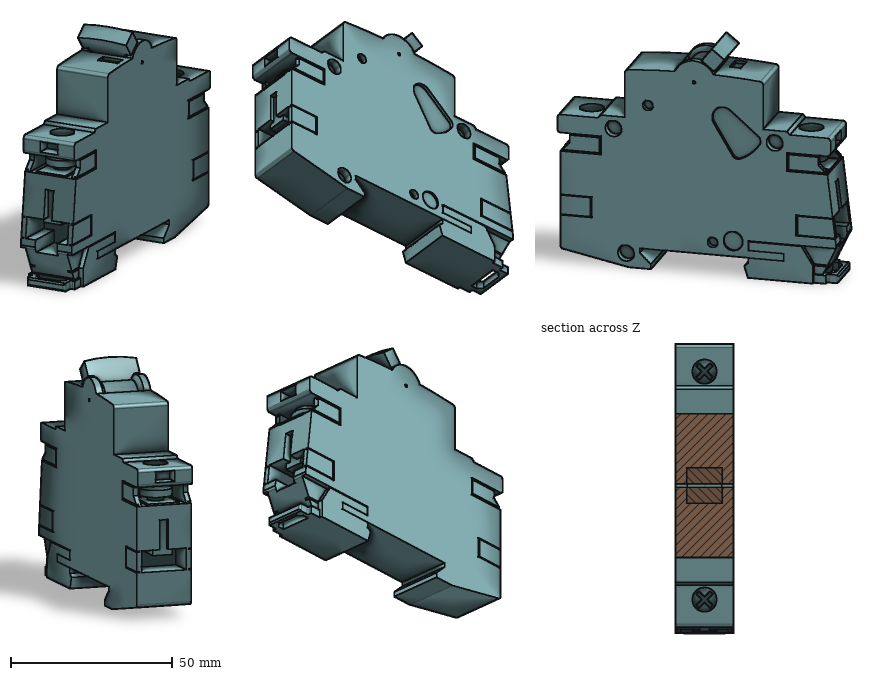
import cadquery as cq
import math

BACK = 1
FRONT = -1
BOTH_ENDS = (BACK, FRONT)

half_width = 9.0
beyond = 0.9

dome_top = 65.7
shoulder_y = 22.3
shoulder_z = 64.6
shoulder_radius = 1.2
step_y = 30.0
step_size = 1.0
step_z = 49.1
flange_y = 44.05
flange_top = step_z - step_size
flange_bottom = 42.2
flange_radius = 1.1
neck_y = 40.1
neck_z = 39.1
waist_z = 36.1
waist_y = neck_y + neck_z - waist_z
front_bottom_y = -45.9
bevel = 0.8
bevel_depth = 0.2
back_bottom_z = 4.3
back_bottom_radius = 1.1
back_foot_y = 20.9
hook_tip_y = 13.9
hook_tip_z = 1.6
hook_root_y = 17.5
hook_root_z = 5.1
rail_z = 6.6

axis_z = 62.5
barrel_radius = 7.0
drum_radius = 5.4
drum_half_width = 5.4
mouth_half_width = 6.8
mouth_y = 6.4
mouth_floor_y = 4.95
mouth_floor_z = 64.7
mouth_flare = (mouth_half_width - drum_half_width) / (barrel_radius - drum_radius)
pin_hole_diameter = 0.9

handle_angle = 38.3
handle_thickness = 5.2
handle_half_width = 8.6
handle_bottom = 7.0
handle_side_height = 12.3
handle_crown_height = 13.2

window_x = (0.1, 6.9)
window_y = (-12.5, -9.0)
window_floor = 64.4

screw_y = 35.4
access_radius = 3.8
entry_half_width = 3.15
entry_y = 39.5
entry_bottom = 43.5
entry_top = 46.9
cavity_half_width = 7.4
cavity_y = 30.3
plate_half_width = 5.1
plate_top = 36.7
plate_y = 42.8
screw_shank_radius = 2.6
screw_head_radius = 5.1
screw_head_bottom = 38.1
screw_head_top = 40.4
screw_crown_top = 41.8
cross_length = 6.1
cross_width = 1.3

pocket_y = 33.6
pocket_half_width = 7.4
pocket_bottom = 15.2
pocket_top = 22.1
slot_half_width = 1.4
slot_top = 31.4
slot_depth = 1.35
block_half_width = 3.15
block_bottom = 20.1

groove_depth = 0.77
groove_width = 0.5
upper_groove_y = 29.9
lower_groove_width = 0.3
lower_groove_y = 32.9
lower_groove_z = (15.2, 22.0)

rivet_holes = [(25.95, 45.0), (-26.0, 45.0), (21.9, 4.6)]
rivet_radius = 2.6
rivet_depth = 2.8
small_holes = [(14.9, 53.6), (-6.0, 10.6)]
small_radius = 1.6
small_depth = 1.9
disc_y = -12.6
disc_z = 11.6
disc_radius = 3.1
disc_depth = 0.5
fan_depth = 1.1
fan_y = -9.5
fan_z = 51.6
fan_nose_radius = 3.6
fan_reach = 14.0
fan_corner_radius = 2.1
fan_angles = (-139.5, -121.0)

clip_seat_y = -17.5
clip_seat_z = 12.2
clip_gap = 0.3
rib_y = -29.0
rib_top = 9.0
clip_slope_top_y = -34.7
clip_end_y = -38.4
clip_shelf_z = 5.95
jaw_y = -16.2
jaw_z = 3.8
jaw_shoulder_z = 4.9
jaw_bottom_y = -17.4
nose_half_width = 7.4
nose_back_y = -32.4
nose_top_y = -45.7
nose_lower_y = -41.4
nose_lower_z = 3.2
nose_bottom_y = -40.9
slit_half_width = 5.95
slit_height = 0.5
channel_half_width = 3.9
channel_floor = 11.2
pull_height = 2.7
pull_front_y = -46.0
pull_step_y = -42.25
pull_root_half_width = 8.1
pull_half_width = 6.7
pull_step_radius = 0.5
pull_corner_radius = 0.6
pull_edge_chamfer = 0.5
pull_window_half_width = 5.2
pull_window_y = (-44.3, -40.7)
pull_window_chamfer = 1.5


def box(x_range, y_range, z_range):
    """Box between two values on each axis, given in any order."""
    spans = [sorted(pair) for pair in (x_range, y_range, z_range)]
    sizes = [high - low for low, high in spans]
    corner = [low for low, high in spans]
    return cq.Workplane("XY").box(*sizes, centered=False).translate(tuple(corner))


def centred_box(half_x, y_range, z_range):
    return box((-half_x, half_x), y_range, z_range)


def prism(points, half_x):
    """Prism along X from a (y, z) outline, centred on the width."""
    return cq.Workplane("YZ").polyline(points).close().extrude(half_x, both=True)


def axle(radius, half_x):
    """Cylinder along the toggle axis."""
    return cq.Workplane("YZ").center(0, axis_z).circle(radius).extrude(half_x, both=True)


def round_edges(body, places, radius):
    """Fillet the edges along X that pass through the (y, z) places."""
    for y, z in places:
        edge = cq.selectors.NearestToPointSelector((0, y, z))
        body = body.edges("|X").edges(edge).fillet(radius)
    return body


def end_outline(side):
    """Outline of one end of the housing from the shoulder down to the waist."""
    half = [
        (shoulder_y, step_z),
        (step_y, step_z),
        (step_y + step_size, flange_top),
        (flange_y, flange_top),
        (flange_y, flange_bottom),
        (neck_y, flange_bottom),
        (neck_y, neck_z),
        (waist_y, waist_z),
    ]
    return [(side * y, z) for y, z in half]


def make_shell():
    """Outer shape of the housing with the rail seat, the clip recess and the barrel."""
    base = [
        (waist_y, back_bottom_z),
        (back_foot_y, 0),
        (hook_tip_y, 0),
        (hook_tip_y, hook_tip_z),
        (hook_root_y, hook_root_z),
        (hook_root_y, rail_z),
        (rib_y, rail_z),
        (rib_y, rib_top),
        (clip_seat_y, rib_top),
        (clip_seat_y, clip_seat_z),
        (front_bottom_y + bevel_depth, clip_seat_z),
        (front_bottom_y, clip_seat_z + bevel),
    ]
    outline = end_outline(BACK) + base + end_outline(FRONT)[::-1]
    shell = (
        cq.Workplane("YZ")
        .moveTo(-shoulder_y, shoulder_z)
        .threePointArc((0, dome_top), (shoulder_y, shoulder_z))
    )
    for point in outline:
        shell = shell.lineTo(*point)
    shell = shell.close().extrude(half_width, both=True)
    shell = round_edges(shell, [(side * shoulder_y, shoulder_z) for side in BOTH_ENDS], shoulder_radius)
    flange_corners = [(side * flange_y, z) for side in BOTH_ENDS for z in (flange_top, flange_bottom)]
    shell = round_edges(shell, flange_corners, flange_radius)
    shell = round_edges(shell, [(waist_y, back_bottom_z)], back_bottom_radius)
    return shell.union(axle(barrel_radius, half_width))


def make_mouth():
    """Flared opening of the barrel, above the drum and between two sloped ends."""
    outer_radius = barrel_radius + beyond
    outer_half_width = mouth_half_width + mouth_flare * beyond
    ring = (
        cq.Workplane("XY", origin=(0, 0, axis_z))
        .polyline([
            (-drum_half_width, 0),
            (-drum_half_width, drum_radius),
            (-outer_half_width, outer_radius),
            (outer_half_width, outer_radius),
            (drum_half_width, drum_radius),
            (drum_half_width, 0),
        ])
        .close()
        .revolve(360, (0, 0, 0), (1, 0, 0))
    )
    mouth_z = dome_top - (dome_top - shoulder_z) * (mouth_y / shoulder_y) ** 2
    slope = (mouth_z - mouth_floor_z) / (mouth_y - mouth_floor_y)
    top_y = mouth_y + 2 * beyond
    top_z = mouth_z + 2 * beyond * slope
    above = prism(
        [
            (mouth_floor_y, mouth_floor_z),
            (top_y, top_z),
            (top_y, axis_z + outer_radius),
            (-top_y, axis_z + outer_radius),
            (-top_y, top_z),
            (-mouth_floor_y, mouth_floor_z),
        ],
        half_width,
    )
    return ring.intersect(above)


def cut_terminal(housing, side):
    """Screw access, wire entry, screw cavity, wire pocket and tool slot at one end."""
    outside = side * (abs(pull_front_y) + beyond)
    access = (
        cq.Workplane("XY", origin=(0, side * screw_y, flange_bottom - beyond))
        .circle(access_radius)
        .extrude(flange_top - flange_bottom + 2 * beyond)
    )
    entry = centred_box(entry_half_width, (side * entry_y, outside), (entry_bottom, entry_top))
    cavity = centred_box(cavity_half_width, (side * cavity_y, outside), (waist_z, flange_bottom))
    pocket = centred_box(pocket_half_width, (side * pocket_y, outside), (pocket_bottom, pocket_top))
    slot_back_y = side * (waist_y - slot_depth)
    slot = centred_box(slot_half_width, (slot_back_y, outside), (pocket_top - beyond, slot_top))
    block = centred_box(block_half_width, (side * pocket_y, slot_back_y), (block_bottom, pocket_top))
    pocket = pocket.cut(block)
    for cutter in (access, entry, cavity, pocket, slot):
        housing = housing.cut(cutter)
    return housing


def make_screw(side):
    """Terminal screw with a domed head and a cross slot, on its contact plate."""
    sagitta = screw_crown_top - screw_head_top
    crown_mid_x = screw_head_radius / 2
    crown_radius = (screw_head_radius ** 2 + sagitta ** 2) / (2 * sagitta)
    crown_mid_z = screw_crown_top - crown_radius + math.sqrt(crown_radius ** 2 - crown_mid_x ** 2)
    screw = (
        cq.Workplane("XZ")
        .moveTo(0, waist_z)
        .lineTo(screw_shank_radius, waist_z)
        .lineTo(screw_shank_radius, screw_head_bottom)
        .lineTo(screw_head_radius, screw_head_bottom)
        .lineTo(screw_head_radius, screw_head_top)
        .threePointArc((crown_mid_x, crown_mid_z), (0, screw_crown_top))
        .close()
        .revolve(360, (0, 0, 0), (0, 1, 0))
    )
    for angle in (45, 135):
        arm = box(
            (-cross_length / 2, cross_length / 2),
            (-cross_width / 2, cross_width / 2),
            (screw_head_top, screw_crown_top),
        )
        screw = screw.cut(arm.rotate((0, 0, 0), (0, 0, 1), angle))
    plate = centred_box(plate_half_width, (side * cavity_y, side * plate_y), (waist_z, plate_top))
    return plate.union(screw.translate((0, side * screw_y, 0)))


def make_frame_groove(side, start_y, z_range, end_width, rail_width):
    """Groove around three edges of a rectangle that runs out at one end of the housing."""
    outside = side * (abs(pull_front_y) + beyond)
    low, high = z_range
    x_range = (-half_width, -half_width + groove_depth)
    outer = box(x_range, (side * start_y, outside), z_range)
    island = box(x_range, (side * (start_y + end_width), outside), (low + rail_width, high - rail_width))
    groove = outer.cut(island)
    return groove.union(groove.mirror("YZ"))


def side_hole(y, z, radius, depth):
    """Round blind hole in the -X side."""
    return cq.Workplane("YZ", origin=(-half_width, y, z)).circle(radius).extrude(depth)


def make_fan():
    """Fan-shaped shallow recess: round nose, two straight edges and a wide arc."""
    def polar(radius, angle):
        return (radius * math.cos(math.radians(angle)), radius * math.sin(math.radians(angle)))

    first, last = fan_angles
    tangent_length = math.sqrt(fan_reach ** 2 - fan_nose_radius ** 2)
    offset = math.degrees(math.atan2(fan_nose_radius, tangent_length))
    fan = (
        cq.Workplane("YZ", origin=(-half_width, fan_y, fan_z))
        .moveTo(*polar(fan_nose_radius, first - 90))
        .lineTo(*polar(fan_reach, first - offset))
        .threePointArc(polar(fan_reach, (first + last) / 2), polar(fan_reach, last + offset))
        .lineTo(*polar(fan_nose_radius, last + 90))
        .threePointArc(polar(fan_nose_radius, (first + last) / 2 + 180), polar(fan_nose_radius, first - 90))
        .close()
        .extrude(fan_depth)
    )
    return fan.edges("|X and <Z").fillet(fan_corner_radius).edges("|X and <Y").fillet(fan_corner_radius)


def make_channel():
    """Channel in the floor of the front pocket, down into the nose."""
    return centred_box(
        channel_half_width,
        (-pocket_y, pull_front_y - beyond),
        (channel_floor, pocket_bottom + beyond),
    )


def make_nose():
    """Wedge under the front of the housing, in front of the clip, with a slit in each side."""
    nose = prism(
        [
            (nose_back_y, clip_seat_z),
            (nose_top_y, clip_seat_z),
            (nose_lower_y, nose_lower_z),
            (nose_bottom_y, pull_height),
            (clip_end_y, pull_height),
            (clip_end_y, clip_shelf_z),
        ],
        nose_half_width,
    )
    slit = box(
        (slit_half_width, half_width),
        (clip_end_y, pull_front_y),
        (clip_shelf_z - slit_height, clip_shelf_z),
    )
    return nose.cut(slit).cut(slit.mirror("YZ"))


def make_housing():
    housing = make_shell()
    housing = housing.cut(make_mouth())
    housing = housing.cut(axle(drum_radius, drum_half_width))
    housing = housing.cut(axle(pin_hole_diameter / 2, half_width + beyond))
    for side in BOTH_ENDS:
        housing = cut_terminal(housing, side)
        housing = housing.union(make_screw(side))
        upper_z = (waist_z, flange_bottom)
        housing = housing.cut(make_frame_groove(side, upper_groove_y, upper_z, groove_width, groove_width))
        housing = housing.cut(
            make_frame_groove(side, lower_groove_y, lower_groove_z, groove_width, lower_groove_width)
        )
    housing = housing.union(make_nose()).cut(make_channel())
    housing = housing.cut(box(window_x, window_y, (window_floor, dome_top)))
    for y, z in rivet_holes:
        housing = housing.cut(side_hole(y, z, rivet_radius, rivet_depth))
    for y, z in small_holes:
        housing = housing.cut(side_hole(y, z, small_radius, small_depth))
    housing = housing.cut(side_hole(disc_y, disc_z, disc_radius, disc_depth))
    return housing.cut(make_fan())


def make_toggle():
    """Drum with a handle, built upright and then tilted about the toggle axis."""
    neck_half_width = mouth_half_width + mouth_flare * (handle_bottom - barrel_radius)
    half_thick = handle_thickness / 2
    handle = (
        cq.Workplane("XZ")
        .moveTo(-handle_half_width, handle_bottom)
        .lineTo(-handle_half_width, handle_side_height)
        .threePointArc((0, handle_crown_height), (handle_half_width, handle_side_height))
        .lineTo(handle_half_width, handle_bottom)
        .close()
        .extrude(half_thick, both=True)
    )
    neck = (
        cq.Workplane("XZ")
        .polyline([
            (-drum_half_width, 0),
            (-drum_half_width, drum_radius),
            (-neck_half_width, handle_bottom),
            (neck_half_width, handle_bottom),
            (drum_half_width, drum_radius),
            (drum_half_width, 0),
        ])
        .close()
        .extrude(half_thick, both=True)
    )
    toggle = handle.union(neck)
    toggle = toggle.rotate((0, 0, 0), (1, 0, 0), handle_angle).translate((0, 0, axis_z))
    toggle = toggle.union(axle(drum_radius, drum_half_width))
    return toggle.cut(axle(pin_hole_diameter / 2, half_width))


def make_pull():
    """Flat pull at the foot of the clip, with a window for a screwdriver."""
    half_plan = [
        (pull_root_half_width, clip_end_y),
        (pull_root_half_width, pull_step_y),
        (pull_half_width, pull_step_y),
        (pull_half_width, pull_front_y),
    ]
    plan = half_plan + [(-x, y) for x, y in half_plan[::-1]]
    pull = cq.Workplane("XY").polyline(plan).close().extrude(pull_height)
    pull = pull.edges("|Z and <Y").fillet(pull_corner_radius)
    for side in (1, -1):
        inner_corner = cq.selectors.NearestToPointSelector((side * pull_half_width, pull_step_y, 0))
        pull = pull.edges("|Z").edges(inner_corner).fillet(pull_step_radius)
    profile = [
        (clip_end_y, 0),
        (pull_front_y + pull_edge_chamfer, 0),
        (pull_front_y, pull_edge_chamfer),
        (pull_front_y, pull_height - pull_edge_chamfer),
        (pull_front_y + pull_edge_chamfer, pull_height),
        (clip_end_y, pull_height),
    ]
    pull = pull.intersect(prism(profile, half_width))
    window = centred_box(pull_window_half_width, pull_window_y, (0, pull_height))
    window = window.edges("|Z and <Y").chamfer(pull_window_chamfer)
    return pull.cut(window)


def make_clip():
    body = prism(
        [
            (clip_seat_y - clip_gap, rib_top),
            (clip_seat_y - clip_gap, clip_seat_z - clip_gap),
            (clip_slope_top_y, clip_seat_z - clip_gap),
            (clip_end_y, clip_shelf_z),
            (clip_end_y, 0),
            (jaw_bottom_y, 0),
            (jaw_y, jaw_z),
            (-hook_root_y, jaw_shoulder_z),
            (-hook_root_y, rail_z),
            (rib_y, rail_z),
            (rib_y, rib_top),
        ],
        half_width,
    )
    return body.union(make_pull()).cut(make_nose())


toggle = make_toggle()
housing = make_housing().cut(toggle)
clip = make_clip()

result = cq.Compound.makeCompound([housing.val(), toggle.val(), clip.val()])